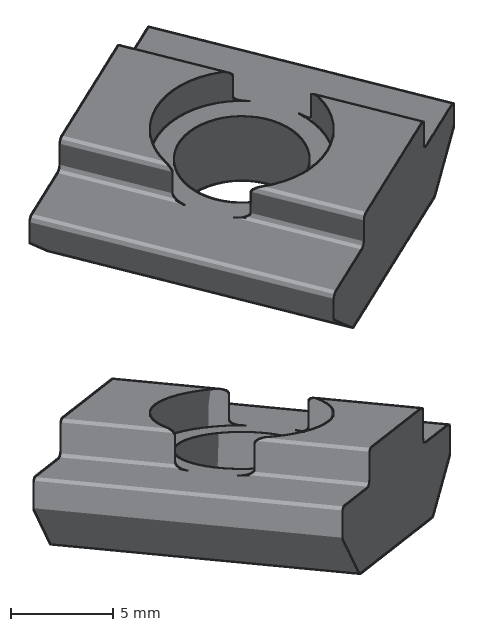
import cadquery as cq

length = 16.0
width = 16.0
height = 6.0

tongue_width = 8.0
tongue_height = 1.9
base_width = 10.88
flange_side_height = 1.6
edge_radius = 0.3

bore_diameter = 6.64
counterbore_diameter = 9.0

shoulder_z = height - tongue_height
bevel_top_z = shoulder_z - flange_side_height


def make_profile_body():
    """Extrude the T-shaped section along X and round all its lengthwise edges."""
    right_half = [
        (base_width / 2, 0),
        (width / 2, bevel_top_z),
        (width / 2, shoulder_z),
        (tongue_width / 2, shoulder_z),
        (tongue_width / 2, height),
    ]
    left_half = [(-y, z) for y, z in reversed(right_half)]
    body = cq.Workplane("YZ").polyline(right_half + left_half).close().extrude(length / 2, both=True)
    return body.edges("|X").fillet(edge_radius)


def make_cylinder(diameter, bottom_z):
    """Vertical cutter on the block centre, from bottom_z up to the top face."""
    return cq.Workplane("XY").workplane(offset=bottom_z).circle(diameter / 2).extrude(height - bottom_z)


bore = make_cylinder(bore_diameter, 0)
counterbore = make_cylinder(counterbore_diameter, shoulder_z)

result = make_profile_body().cut(bore).cut(counterbore)